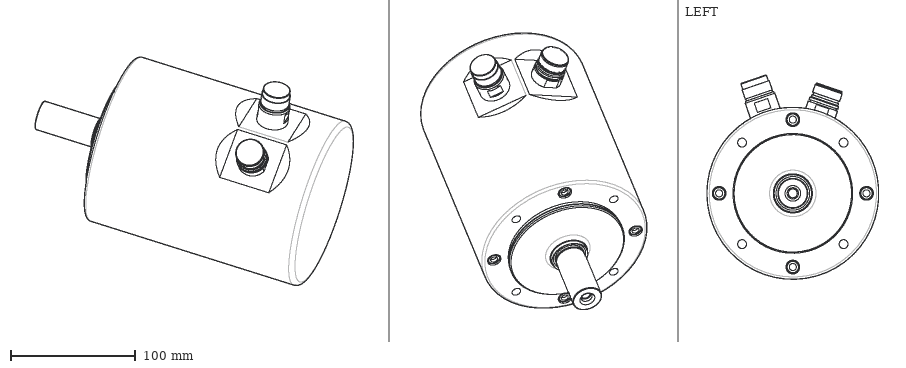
import cadquery as cq
import math

total_length = 245.0

housing_radius = 138.0 / 2
housing_front_x = 63.7
housing_rear_x = 243.8
front_round = 2.0
rear_round = 4.0

shaft_radius = 24.0 / 2
shaft_tip_chamfer = 0.5
shaft_groove_radius = 23.0 / 2
shaft_groove_x = 48.3
shaft_groove_width = 0.7
centre_mouth_radius = 12.5 / 2
centre_radius = 9.0 / 2
centre_bore_radius = 7.0 / 2
centre_mouth_depth = 2.2
centre_step_depth = 5.0
centre_hole_depth = 22.0
drill_half_angle = math.radians(59)

hub_radius = 30.0 / 2
hub_front_x = 49.7
hub_dish_radius = 27.0 / 2
hub_dish_depth = 1.2
flare_front_radius = 15.7
flare_front_x = 53.0
flare_rear_radius = 18.5
flare_rear_x = 55.9

flange_radius = 48.0
flange_relief_radius = 47.5
flange_chamfer = 1.0
flange_front_x = 57.3
flange_relief_x = 60.8

mount_hole_diameter = 7.0
mount_hole_depth = 12.2
mount_hole_spread = 40.7
screw_count = 4
screw_circle_radius = 59.0
screw_recess_diameter = 11.0
screw_recess_depth = 2.0
screw_head_diameter = 10.0
screw_head_chamfer = 0.5
screw_head_drop = 0.7
screw_socket_diameter = 5.6
screw_socket_depth = 3.0

connector_x = 191.0
connector_tilt = 19.0

pocket_floor_radius = 65.7
pocket_length = 42.1
pocket_wall_slope = math.radians(20)
pocket_cutter_height = 12.2
pocket_cutter_width = 58.8

flat_gap = 22.5
flat_height = 7.8
flat_cutter_depth = 5.0
flat_cutter_width = 29.5

tall_base_radius = 25.2 / 2
tall_base_top = 80.5
tall_shoulder_radius = 23.8 / 2
tall_shoulder_top = 82.0
tall_neck_radius = 22.5 / 2
tall_neck_top = 83.8
tall_sleeve_radius = 23.0 / 2
tall_sleeve_top = 91.6
tall_tip_radius = 21.8 / 2
tall_tip_top = 96.8
tall_tip_chamfer = 0.5
tall_flat_bottom = 70.5

short_base_radius = 25.0 / 2
short_base_top = 74.0
short_groove_radius = 22.0 / 2
short_groove_top = 75.5
short_ring_radius = 24.5 / 2
short_ring_top = 78.2
short_ring_chamfer = 0.7
short_collar_radius = 22.5 / 2
short_collar_top = 79.9
short_neck_radius = 21.0 / 2
short_neck_top = 81.8
short_sleeve_radius = 23.0 / 2
short_sleeve_top = 89.0
short_sleeve_chamfer = 0.7
short_tip_radius = 21.8 / 2
short_tip_top = 90.0


def main_profile():
    """Half section of housing, flange, hub and shaft, revolved about X."""
    flare_dx = flare_rear_x - flare_front_x
    flare_dr = flare_rear_radius - flare_front_radius
    bow = math.sqrt(0.5)
    flare_middle = (flare_front_x + flare_dx * bow, flare_front_radius + flare_dr * (1 - bow))
    groove_end_x = shaft_groove_x + shaft_groove_width
    dish_x = hub_front_x + hub_dish_depth
    tip_radius = shaft_radius - shaft_tip_chamfer
    rear_face_radius = housing_radius - rear_round
    profile = (
        cq.Workplane("XY")
        .moveTo(0, 0)
        .lineTo(0, tip_radius)
        .lineTo(shaft_tip_chamfer, shaft_radius)
        .lineTo(shaft_groove_x, shaft_radius)
        .lineTo(shaft_groove_x, shaft_groove_radius)
        .lineTo(groove_end_x, shaft_groove_radius)
        .lineTo(groove_end_x, shaft_radius)
        .lineTo(dish_x, shaft_radius)
        .lineTo(dish_x, hub_dish_radius)
        .lineTo(hub_front_x, hub_radius)
        .lineTo(flare_front_x, hub_radius)
        .lineTo(flare_front_x, flare_front_radius)
        .threePointArc(flare_middle, (flare_rear_x, flare_rear_radius))
        .lineTo(flange_front_x, flange_radius - flange_chamfer)
        .lineTo(flange_front_x + flange_chamfer, flange_radius)
        .lineTo(flange_relief_x, flange_radius)
        .lineTo(flange_relief_x, flange_relief_radius)
        .lineTo(housing_front_x, flange_relief_radius)
        .lineTo(housing_front_x, housing_radius - front_round)
        .radiusArc((housing_front_x + front_round, housing_radius), front_round)
        .lineTo(housing_rear_x - rear_round, housing_radius)
        .radiusArc((housing_rear_x, rear_face_radius), rear_round)
        .lineTo(total_length, 0)
        .close()
    )
    return profile.revolve(360, (0, 0, 0), (1, 0, 0))


def centre_hole():
    tip_length = centre_bore_radius / math.tan(drill_half_angle)
    return (
        cq.Workplane("XY")
        .moveTo(0, 0)
        .lineTo(0, centre_mouth_radius)
        .lineTo(centre_mouth_depth, centre_radius)
        .lineTo(centre_step_depth, centre_radius)
        .lineTo(centre_step_depth, centre_bore_radius)
        .lineTo(centre_hole_depth, centre_bore_radius)
        .lineTo(centre_hole_depth + tip_length, 0)
        .close()
        .revolve(360, (0, 0, 0), (1, 0, 0))
    )


def mount_hole(y, z):
    """Blind drilled hole with a conical bottom."""
    radius = mount_hole_diameter / 2
    tip_x = housing_front_x + mount_hole_depth + radius / math.tan(drill_half_angle)
    return (
        cq.Workplane("XY")
        .moveTo(housing_front_x, 0)
        .lineTo(housing_front_x, radius)
        .lineTo(housing_front_x + mount_hole_depth, radius)
        .lineTo(tip_x, 0)
        .close()
        .revolve(360, (0, 0, 0), (1, 0, 0))
        .translate((0, y, z))
    )


def disc(x, diameter, depth, y, z):
    return cq.Workplane("YZ", origin=(x, y, z)).circle(diameter / 2).extrude(depth)


def screw_recess(y, z):
    """Recess that leaves a round screw head with a round socket in it."""
    recess = disc(housing_front_x, screw_recess_diameter, screw_recess_depth, y, z)
    head_x = housing_front_x + screw_head_drop
    head = disc(head_x, screw_head_diameter, screw_recess_depth, y, z)
    head = head.faces("<X").chamfer(screw_head_chamfer)
    socket = disc(head_x, screw_socket_diameter, screw_socket_depth, y, z)
    return recess.cut(head).union(socket)


def tilted(body, x, side):
    """Lean a body built along +Z towards +Y (side 1) or -Y (side -1) and move it to x."""
    return body.rotate((0, 0, 0), (1, 0, 0), -side * connector_tilt).translate((x, 0, 0))


def pocket():
    """Flat-floored cutter whose two end walls lean outwards."""
    half = pocket_length / 2
    lean = pocket_cutter_height / math.tan(pocket_wall_slope)
    top = pocket_floor_radius + pocket_cutter_height
    return (
        cq.Workplane("XZ")
        .polyline([
            (-half, pocket_floor_radius),
            (half, pocket_floor_radius),
            (half + lean, top),
            (-half - lean, top),
        ])
        .close()
        .extrude(pocket_cutter_width / 2, both=True)
    )


def build_motor():
    motor = main_profile().cut(centre_hole())
    for y in (-mount_hole_spread, mount_hole_spread):
        for z in (-mount_hole_spread, mount_hole_spread):
            motor = motor.cut(mount_hole(y, z))
    for index in range(screw_count):
        angle = index * 2 * math.pi / screw_count
        y = screw_circle_radius * math.cos(angle)
        z = screw_circle_radius * math.sin(angle)
        motor = motor.cut(screw_recess(y, z))
    for side in (-1, 1):
        motor = motor.cut(tilted(pocket(), connector_x, side))
    return motor


def build_connector(outline, flat_bottom):
    """Turn an outline of (radius, distance from the main axis) points and mill two flats on it."""
    top = outline[-1][1]
    body = (
        cq.Workplane("XZ")
        .polyline([(0, pocket_floor_radius), *outline, (0, top)])
        .close()
        .revolve(360, (0, 0, 0), (0, 1, 0))
    )
    for side in (-1, 1):
        flat = cq.Workplane("XY").box(flat_cutter_depth, flat_cutter_width, flat_height)
        x = side * (flat_gap + flat_cutter_depth) / 2
        body = body.cut(flat.translate((x, 0, flat_bottom + flat_height / 2)))
    return body


def build_tall_connector():
    outline = [
        (tall_base_radius, pocket_floor_radius),
        (tall_base_radius, tall_base_top),
        (tall_shoulder_radius, tall_shoulder_top),
        (tall_neck_radius, tall_shoulder_top),
        (tall_neck_radius, tall_neck_top),
        (tall_sleeve_radius, tall_neck_top),
        (tall_sleeve_radius, tall_sleeve_top),
        (tall_tip_radius, tall_sleeve_top),
        (tall_tip_radius, tall_tip_top - tall_tip_chamfer),
        (tall_tip_radius - tall_tip_chamfer, tall_tip_top),
    ]
    return tilted(build_connector(outline, tall_flat_bottom), connector_x, 1)


def build_short_connector():
    outline = [
        (short_base_radius, pocket_floor_radius),
        (short_base_radius, short_base_top),
        (short_groove_radius, short_base_top),
        (short_groove_radius, short_groove_top),
        (short_ring_radius, short_groove_top),
        (short_ring_radius, short_ring_top - short_ring_chamfer),
        (short_collar_radius, short_ring_top),
        (short_collar_radius, short_collar_top),
        (short_neck_radius, short_collar_top),
        (short_neck_radius, short_neck_top),
        (short_sleeve_radius, short_neck_top),
        (short_sleeve_radius, short_sleeve_top - short_sleeve_chamfer),
        (short_tip_radius, short_sleeve_top),
        (short_tip_radius, short_tip_top),
    ]
    return tilted(build_connector(outline, pocket_floor_radius), connector_x, -1)


motor = build_motor()
tall_connector = build_tall_connector()
short_connector = build_short_connector()

result = cq.Compound.makeCompound([motor.val(), tall_connector.val(), short_connector.val()])